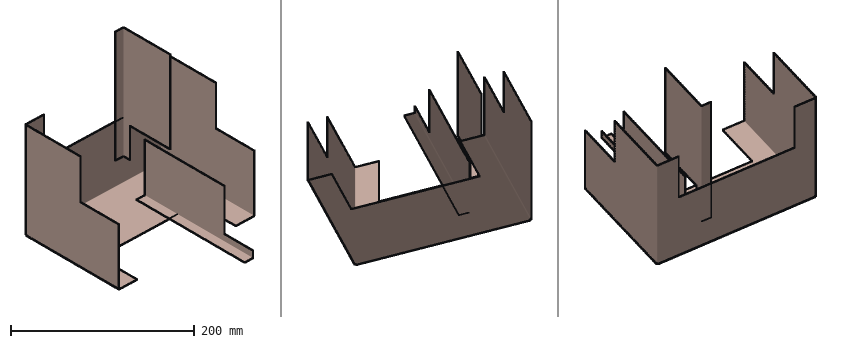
import cadquery as cq

sheet = 1.0
bend_radius = 1.5
inner_radius = bend_radius - sheet

housing_width = 207.0
housing_reach = 147.0
step = 86.7
tab_width = 28.5
relief = 2.0

bracket_start = 35.8
bracket_end = 206.0
wide_length = 125.2
web_width = 74.0
tail_width = 10.5
flange_width = 13.0
tail_length = bracket_end - bracket_start - wide_length
web_joint_y = 148.0


def box(x0, x1, y0, y1, z0, z1):
    """Box between two opposite corners."""
    return cq.Workplane("XY").box(x1 - x0, y1 - y0, z1 - z0, centered=False).translate((x0, y0, z0))


def make_housing():
    """Bent sheet corner, open at +X and +Z, with stepped panels and relieved corners."""
    far_inside = housing_width - sheet
    far_relief = housing_width - relief
    beyond = housing_reach + 2
    bend_edges = "(<X and (|Z or <Z)) or (<Z and |X)"

    outside = box(0, housing_reach, 0, housing_width, 0, housing_reach)
    outside = outside.edges(bend_edges).fillet(bend_radius)
    inside = box(sheet, beyond, sheet, far_inside, sheet, beyond)
    inside = inside.edges(bend_edges).fillet(inner_radius)
    body = outside.cut(inside)

    body = body.cut(box(step, beyond, 0, housing_width, step, beyond))
    tab_end = housing_width - tab_width
    body = body.cut(box(step, beyond, tab_width, tab_end, 0, bend_radius))
    body = body.cut(box(0, bend_radius, tab_width, tab_end, step, beyond))
    for y in (0, far_relief):
        body = body.cut(box(0, relief, y, y + relief, 0, relief))
    return body


def make_bracket(web_back_y, tail_first):
    """Bracket lying along X on Z = 0, its web at web_back_y and its flange towards -Y.

    With tail_first, the narrow part of the web is at the -X end, otherwise at +X.
    """
    flange_y = web_back_y - flange_width
    blank = box(bracket_start, bracket_end, flange_y, web_back_y, 0, web_width)
    blank = blank.edges("|X and >Y and <Z").fillet(bend_radius)
    hollow = box(bracket_start, bracket_end, flange_y, web_back_y - sheet, sheet, web_width)
    hollow = hollow.edges("|X and >Y and <Z").fillet(inner_radius)
    body = blank.cut(hollow)

    tail_start = bracket_start if tail_first else bracket_start + wide_length
    tail_end = tail_start + tail_length
    return body.cut(box(tail_start, tail_end, flange_y, web_back_y, tail_width, web_width))


housing = make_housing()

floor_bracket = make_bracket(web_joint_y, tail_first=False).translate((0, 0, sheet))

upright_bracket = make_bracket(web_joint_y + sheet, tail_first=True)
upright_bracket = upright_bracket.rotate((0, 0, 0), (0, 1, 0), -90).mirror("YZ").translate((sheet, 0, 0))

result = cq.Compound.makeCompound([housing.val(), floor_bracket.val(), upright_bracket.val()])